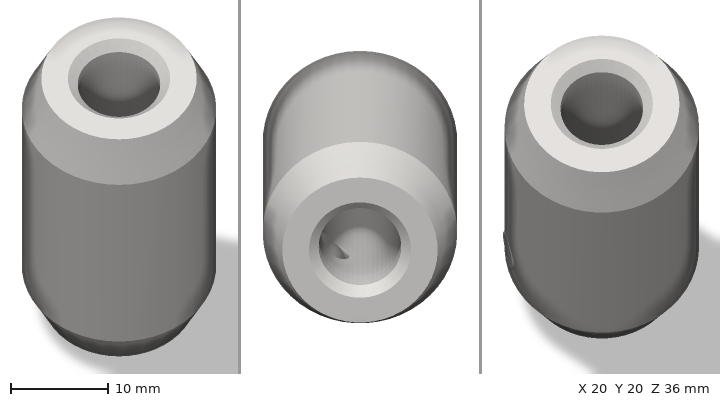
import cadquery as cq

LENGTH = 36.0
OUTER_RADIUS = 10.0
END_RADIUS = 8.0
TAPER_LENGTH = 5.0
BORE_RADIUS = 4.25
BORE_CHAMFER = 1.0
BORE_MOUTH_RADIUS = BORE_RADIUS + BORE_CHAMFER

PLUG_RADIUS = 2.1
PLUG_CHAMFER = 0.18
PLUG_HEIGHT = LENGTH / 4
PLUG_LENGTH = OUTER_RADIUS - BORE_RADIUS


def make_cross_cylinder(length):
    """Cylinder of the plug's radius that runs inward along -Y from the crown of the sleeve."""
    return (
        cq.Workplane("XZ", origin=(0, OUTER_RADIUS, PLUG_HEIGHT))
        .circle(PLUG_RADIUS)
        .extrude(length)
    )


def make_sleeve():
    """Tube turned about Z, with tapered ends, a chamfered bore and a cross hole for the plug."""
    half_profile = (
        cq.Workplane("XZ")
        .moveTo(BORE_MOUTH_RADIUS, 0)
        .lineTo(END_RADIUS, 0)
        .lineTo(OUTER_RADIUS, TAPER_LENGTH)
        .lineTo(OUTER_RADIUS, LENGTH - TAPER_LENGTH)
        .lineTo(END_RADIUS, LENGTH)
        .lineTo(BORE_MOUTH_RADIUS, LENGTH)
        .lineTo(BORE_RADIUS, LENGTH - BORE_CHAMFER)
        .lineTo(BORE_RADIUS, BORE_CHAMFER)
        .close()
    )
    tube = half_profile.revolve(360, (0, 0, 0), (0, 1, 0))
    plug_hole = make_cross_cylinder(OUTER_RADIUS)
    return tube.cut(plug_hole).solids()


def make_plug():
    """Pin that fills the cross hole up to the bore, with its outer rim chamfered."""
    return make_cross_cylinder(PLUG_LENGTH).faces(">Y").chamfer(PLUG_CHAMFER).solids()


sleeve = make_sleeve()
plug = make_plug()

result = cq.Compound.makeCompound([sleeve.val(), plug.val()])